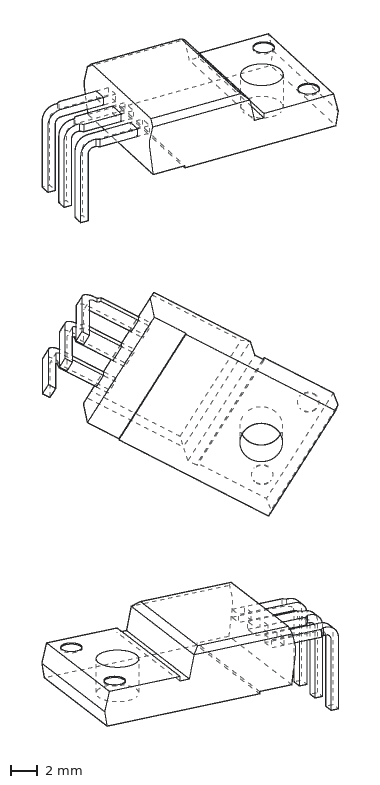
import cadquery as cq
import math


width = 10.15
height = 4.8
chamfer = 0.45
back_chamfer_run = 0.55
overall_length = 20.9
overall_height = 8.45
back_y = 16.15
back_ridge_z = 1.23
back_bottom_y = 15.94
back_top_y = 15.75
tab_top = 2.82
groove_back_y = 9.78
groove_front_y = 8.98
groove_floor = 2.45
block_back_y = 8.59
front_top_y = 0.38
front_bottom_y = 0.31
band_bottom = 2.72
band_top = 3.22
step_y = 3.03
step_height = 0.19

hole_diameter = 3.2
hole_y = 12.4
recess_diameter = 1.6
recess_x = 3.49
recess_y = 14.48
recess_depth = 0.1

lead_pitch = 2.55
lead_thickness = 0.65
lead_top = 3.28
lead_end_y = back_y - overall_length
lead_end_z = height - overall_height
lead_embed = 1.05
bend_radius = 1.1
taper_start_y = -3.2
taper_end_y = -3.45
outer_lead_width = 0.9
outer_lead_shoulder = 0.198
middle_lead_width = 0.84
middle_lead_shoulder = 0.25


def make_solid_housing():
    """Side profile across the full width, limited by the chamfered end outline."""
    side_profile = [
        (front_bottom_y, step_height),
        (step_y, step_height),
        (step_y, 0),
        (back_bottom_y, 0),
        (back_y, back_ridge_z),
        (back_top_y, tab_top),
        (groove_back_y, tab_top),
        (groove_back_y, groove_floor),
        (groove_front_y, groove_floor),
        (block_back_y, height - chamfer),
        (block_back_y - back_chamfer_run, height),
        (front_top_y, height),
        (0, band_top),
        (0, band_bottom),
    ]
    body = cq.Workplane("YZ").polyline(side_profile).close().extrude(width / 2, both=True)

    half_width = width / 2
    end_outline = [
        (-half_width, 0),
        (half_width, 0),
        (half_width, height - chamfer),
        (half_width - chamfer, height),
        (-half_width + chamfer, height),
        (-half_width, height - chamfer),
    ]
    envelope = cq.Workplane("XZ").polyline(end_outline).close().extrude(-back_y)
    return body.intersect(envelope)


def cut_tab_holes(body):
    """Through mounting hole and shallow round recesses in the tab."""
    hole = cq.Workplane("XY").center(0, hole_y).circle(hole_diameter / 2).extrude(tab_top)
    recesses = (
        cq.Workplane("XY", origin=(0, 0, tab_top))
        .pushPoints([(-recess_x, recess_y), (recess_x, recess_y)])
        .circle(recess_diameter / 2)
        .extrude(-recess_depth)
    )
    return body.cut(hole).cut(recesses)


def make_lead(center_x, lead_width, left_shoulder, right_shoulder):
    """Flat lead bent down at a right angle, with shoulders that taper off before the bend."""
    half_width = lead_width / 2
    inner_radius = bend_radius - lead_thickness
    bend_y = lead_end_y + bend_radius
    bend_z = lead_top - bend_radius
    diagonal = math.sqrt(0.5)
    side_profile = (
        cq.Workplane("YZ")
        .moveTo(lead_embed, lead_top)
        .lineTo(bend_y, lead_top)
        .threePointArc(
            (bend_y - bend_radius * diagonal, bend_z + bend_radius * diagonal),
            (lead_end_y, bend_z),
        )
        .lineTo(lead_end_y, lead_end_z)
        .lineTo(lead_end_y + lead_thickness, lead_end_z)
        .lineTo(lead_end_y + lead_thickness, bend_z)
        .threePointArc(
            (bend_y - inner_radius * diagonal, bend_z + inner_radius * diagonal),
            (bend_y, lead_top - lead_thickness),
        )
        .lineTo(lead_embed, lead_top - lead_thickness)
        .close()
    )
    bent_strip = side_profile.extrude(half_width + max(left_shoulder, right_shoulder), both=True)

    plan_outline = [
        (-half_width - left_shoulder, lead_embed),
        (-half_width - left_shoulder, taper_start_y),
        (-half_width, taper_end_y),
        (-half_width, lead_end_y),
        (half_width, lead_end_y),
        (half_width, taper_end_y),
        (half_width + right_shoulder, taper_start_y),
        (half_width + right_shoulder, lead_embed),
    ]
    plan = (
        cq.Workplane("XY", origin=(0, 0, lead_end_z))
        .polyline(plan_outline)
        .close()
        .extrude(lead_top - lead_end_z)
    )
    return bent_strip.intersect(plan).translate((center_x, 0, 0))


lead_layout = [
    (-lead_pitch, outer_lead_width, outer_lead_shoulder, 0),
    (0, middle_lead_width, middle_lead_shoulder, middle_lead_shoulder),
    (lead_pitch, outer_lead_width, 0, outer_lead_shoulder),
]
leads = [make_lead(*layout) for layout in lead_layout]

housing = cut_tab_holes(make_solid_housing())
for lead in leads:
    housing = housing.cut(lead)

result = cq.Compound.makeCompound([housing.solids().val(), *[lead.solids().val() for lead in leads]])